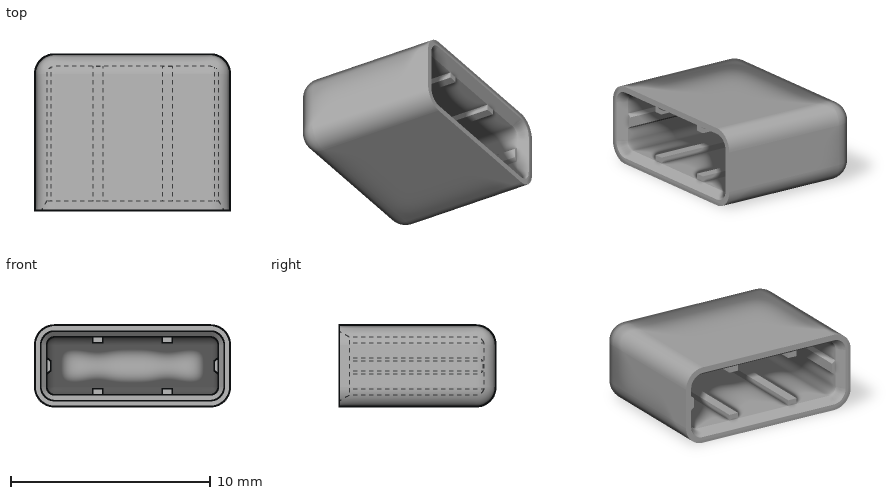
import cadquery as cq

width = 9.8
length = 7.85
height = 4.1
outer_radius = 1.0

rim = 0.3
wall = 0.6
lead_in_depth = 0.5
inner_radius = outer_radius - wall

rib_width = 0.5
rib_height = 0.3
rib_spacing = 3.5

bar_base_width = 0.8
bar_top_width = 0.5
bar_height = 0.2

opening_plane = cq.Plane(origin=(0, 0, 0), xDir=(-1, 0, 0), normal=(0, 1, 0))
cavity_end = length - wall
ridge_length = cavity_end - lead_in_depth


def rounded_outline(inset):
    """Outer outline moved inward by the given inset."""
    return cq.Sketch().rect(width - 2 * inset, height - 2 * inset).vertices().fillet(outer_radius - inset)


def make_shell():
    body = cq.Workplane("XY").box(width, length, height, centered=(True, False, True))
    body = body.edges("|Y").fillet(outer_radius).faces(">Y").edges().fillet(outer_radius)

    cavity = (
        cq.Workplane("XY")
        .box(width - 2 * wall, cavity_end, height - 2 * wall, centered=(True, False, True))
        .edges("|Y").fillet(inner_radius)
        .faces(">Y").edges().fillet(inner_radius)
    )
    deep_outline = rounded_outline(wall).moved(cq.Location((0, 0, lead_in_depth)))
    lead_in = (
        cq.Workplane(opening_plane)
        .placeSketch(rounded_outline(rim), deep_outline)
        .loft()
    )
    return body.cut(cavity).cut(lead_in)


def make_rib(x, side):
    """Rib on the upper (side = 1) or lower (side = -1) wall, rooted halfway into the wall."""
    root = wall / 2
    center_z = side * (height / 2 - wall + (root - rib_height) / 2)
    return (
        cq.Workplane("XY")
        .box(rib_width, ridge_length + root, rib_height + root, centered=(True, False, True))
        .translate((x, lead_in_depth, center_z))
    )


def make_bar(side):
    """Bar on the right (side = 1) or left (side = -1) wall, rooted halfway into the wall."""
    root = wall / 2
    wall_x = width / 2 - wall
    root_x = side * (wall_x + root)
    base_x = side * wall_x
    top_x = side * (wall_x - bar_height)
    return (
        cq.Workplane("XZ", origin=(0, lead_in_depth, 0))
        .moveTo(root_x, -bar_base_width / 2)
        .lineTo(base_x, -bar_base_width / 2)
        .lineTo(top_x, -bar_top_width / 2)
        .lineTo(top_x, bar_top_width / 2)
        .lineTo(base_x, bar_base_width / 2)
        .lineTo(root_x, bar_base_width / 2)
        .close()
        .extrude(-(ridge_length + root))
    )


result = make_shell()
for side in (-1, 1):
    for x in (-rib_spacing / 2, rib_spacing / 2):
        result = result.union(make_rib(x, side))
    result = result.union(make_bar(side))